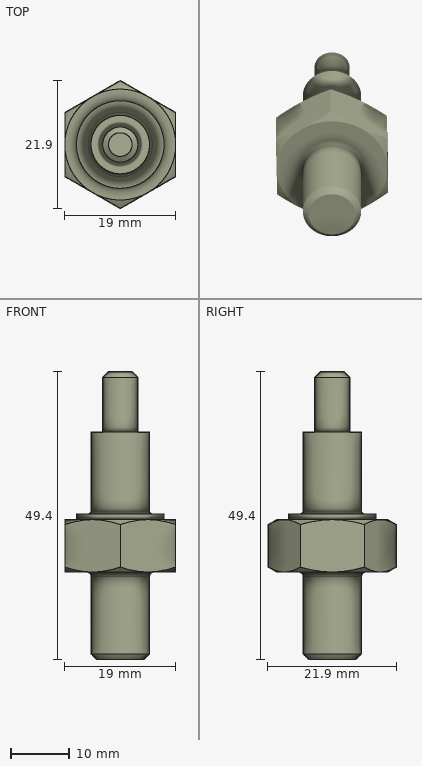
import cadquery as cq
import math

total_height = 49.4
across_flats = 19.0
across_corners = across_flats / math.cos(math.radians(30))
hex_bottom = 15.0
hex_top = 24.0
hex_chamfer_angle = 30.0
envelope_clearance = 1.0

body_radius = 10.05 / 2
pin_radius = 6.05 / 2
collar_radius = 7.5
collar_top = 25.0
body_top = 39.0

end_chamfer = 1.0
upper_fillet = 0.5
lower_fillet = 0.75


def cylinder(radius, bottom, top):
    """Solid cylinder on the Z axis between two heights."""
    return cq.Workplane("XY").workplane(offset=bottom).circle(radius).extrude(top - bottom)


def chamfered_hexagon():
    """Hexagon with corners on Y, its corners turned down conically at both ends."""
    prism = (
        cq.Workplane("XY")
        .workplane(offset=hex_bottom)
        .polygon(6, across_corners)
        .extrude(hex_top - hex_bottom)
        .rotate((0, 0, 0), (0, 0, 1), 30)
    )
    flat_radius = across_flats / 2
    corner_radius = across_corners / 2
    outer_radius = corner_radius + envelope_clearance
    drop = (outer_radius - flat_radius) * math.tan(math.radians(hex_chamfer_angle))
    envelope = (
        cq.Workplane("XZ")
        .polyline([
            (0, hex_bottom),
            (flat_radius, hex_bottom),
            (outer_radius, hex_bottom + drop),
            (outer_radius, hex_top - drop),
            (flat_radius, hex_top),
            (0, hex_top),
        ])
        .close()
        .revolve(360, (0, 0, 0), (0, 1, 0))
    )
    return prism.intersect(envelope)


def root_fillet(radius, face_height, direction):
    """Concave ring joining the body to a flat face; direction is +1 above it, -1 below it."""
    outer = body_radius + radius
    tip = face_height + direction * radius
    bend = radius * (1 - math.cos(math.radians(45)))
    return (
        cq.Workplane("XZ")
        .moveTo(0, face_height)
        .lineTo(outer, face_height)
        .threePointArc((body_radius + bend, face_height + direction * bend), (body_radius, tip))
        .lineTo(0, tip)
        .close()
        .revolve(360, (0, 0, 0), (0, 1, 0))
    )


body = cylinder(body_radius, 0, body_top).faces("<Z").chamfer(end_chamfer)
pin = cylinder(pin_radius, body_top, total_height).faces(">Z").chamfer(end_chamfer)
collar = cylinder(collar_radius, hex_top, collar_top)

result = (
    chamfered_hexagon()
    .union(collar)
    .union(body)
    .union(pin)
    .union(root_fillet(upper_fillet, collar_top, 1))
    .union(root_fillet(lower_fillet, hex_bottom, -1))
)